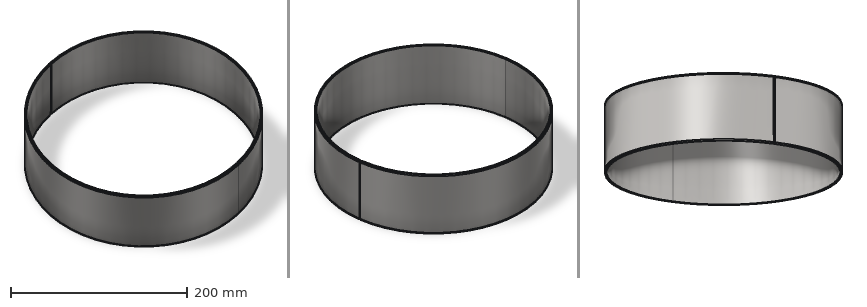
import cadquery as cq
import math

outer_diameter = 270.0
height = 80.0
wall_thickness = 2.5

outer_bevel_height = 1.8
outer_bevel_angle = 20.0
inner_bevel_height = 0.6
inner_bevel_angle = 30.0

slit_width = 2.0


def bevel_depth(bevel_height, bevel_angle):
    """Radial depth of a bevel of the given height and angle."""
    return bevel_height * math.tan(math.radians(bevel_angle))


outer_radius = outer_diameter / 2
inner_radius = outer_radius - wall_thickness
outer_rim_radius = outer_radius - bevel_depth(outer_bevel_height, outer_bevel_angle)
inner_rim_radius = inner_radius + bevel_depth(inner_bevel_height, inner_bevel_angle)


def make_ring():
    """Revolve the wall section, bevelled at all four corners, about Z."""
    section = (
        cq.Workplane("XZ")
        .moveTo(inner_rim_radius, 0)
        .lineTo(outer_rim_radius, 0)
        .lineTo(outer_radius, outer_bevel_height)
        .lineTo(outer_radius, height - outer_bevel_height)
        .lineTo(outer_rim_radius, height)
        .lineTo(inner_rim_radius, height)
        .lineTo(inner_radius, height - inner_bevel_height)
        .lineTo(inner_radius, inner_bevel_height)
        .close()
    )
    return section.revolve(360, (0, 0, 0), (0, 1, 0))


def make_slit_cutter():
    """Full-height block that reaches from the axis out past the -X wall."""
    block = cq.Workplane("XY").box(outer_diameter, slit_width, height, centered=False)
    return block.translate((-outer_diameter, 0, 0))


result = make_ring().cut(make_slit_cutter())